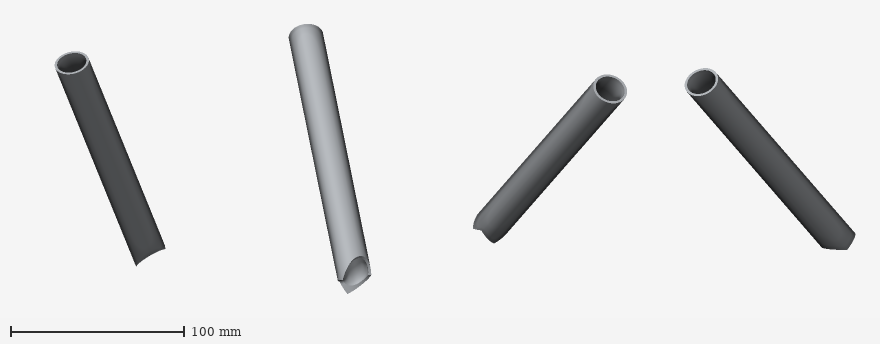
import cadquery as cq


tube_diameter = 20.0
wall_thickness = 1.5

top_center = cq.Vector(50.0, -65.57, 156.55)

top_slope_x = -0.19
top_slope_y = 0.258

leg_directions = (cq.Vector(1, 0, 0), cq.Vector(0, 1, 0))

outer_radius = tube_diameter / 2
inner_radius = outer_radius - wall_thickness
strut_axis = top_center.normalized()
top_normal = cq.Vector(-top_slope_x, -top_slope_y, 1).normalized()
origin = cq.Vector(0, 0, 0)

cut_reach = 4 * tube_diameter


def half_space_block(point, normal):
    """A large block on the side of a plane that its normal points to."""
    return (
        cq.Workplane(cq.Plane(point, normal=normal))
        .rect(2 * cut_reach, 2 * cut_reach)
        .extrude(cut_reach)
    )


def make_strut():
    """The hollow strut from the origin to beyond its upper end."""
    length = top_center.Length + tube_diameter
    outer = cq.Solid.makeCylinder(outer_radius, length, origin, strut_axis)
    bore = cq.Solid.makeCylinder(inner_radius, length, origin, strut_axis)
    return cq.Workplane(obj=outer.cut(bore))


def make_corner_leg(direction):
    """The body of one horizontal tube, starting at the mitre plane x = y."""
    start = direction * -cut_reach
    leg = cq.Solid.makeCylinder(outer_radius, 2 * cut_reach, start, direction)
    mitre_normal = cq.Vector(direction.x - direction.y, direction.y - direction.x, 0)
    return cq.Workplane(obj=leg).intersect(half_space_block(origin, mitre_normal))


strut = make_strut().cut(half_space_block(top_center, top_normal))
for leg_direction in leg_directions:
    strut = strut.cut(make_corner_leg(leg_direction))

result = strut.solids()